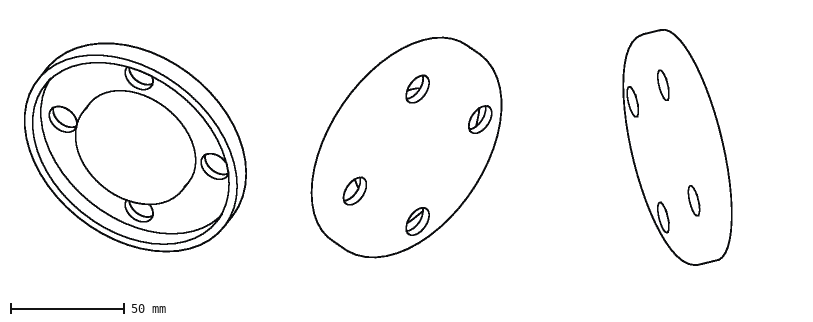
import cadquery as cq
import math

outer_diameter = 105.0
overall_depth = 14.0
rim_height = 12.2
wall = 4.0
edge_radius = 4.0
boss_diameter = 56.0
hole_diameter = 13.6
hole_circle_radius = 37.5
hole_count = 4
sphere_radius = 30.0
lip_radius = 4.0
opening_radius = 18.3

floor_level = wall


def disc(diameter, height, base=0.0):
    """Cylinder along the part axis, growing from the back toward the front."""
    plane = cq.Workplane("XZ").workplane(offset=base)
    return plane.circle(diameter / 2).extrude(height)


def flange():
    body = disc(outer_diameter, rim_height).faces(">Y").edges().fillet(edge_radius)
    recess = disc(outer_diameter - 2 * wall, rim_height - floor_level, floor_level)
    return body.cut(recess)


def boss():
    body = disc(boss_diameter, overall_depth - floor_level, floor_level)
    return body.faces("<Y").edges().fillet(edge_radius)


def dish_cutter():
    """Spherical hollow that runs tangentially through a convex lip into the boss face."""
    edge_angle = math.asin(opening_radius / (sphere_radius + lip_radius))
    lip_center_y = lip_radius - overall_depth
    sphere_center_y = lip_center_y - (sphere_radius + lip_radius) * math.cos(edge_angle)

    def sphere_point(angle):
        return (sphere_radius * math.sin(angle), sphere_center_y + sphere_radius * math.cos(angle))

    def lip_point(angle):
        return (opening_radius - lip_radius * math.sin(angle), lip_center_y - lip_radius * math.cos(angle))

    return (
        cq.Workplane("XY")
        .moveTo(*sphere_point(0))
        .threePointArc(sphere_point(edge_angle / 2), sphere_point(edge_angle))
        .threePointArc(lip_point(edge_angle / 2), lip_point(0))
        .lineTo(0, -overall_depth)
        .close()
        .revolve(360, (0, 0, 0), (0, 1, 0))
    )


def bolt_holes():
    return (
        cq.Workplane("XZ")
        .polarArray(hole_circle_radius, 0, 360, hole_count)
        .circle(hole_diameter / 2)
        .extrude(floor_level)
    )


result = flange().union(boss()).cut(dish_cutter()).cut(bolt_holes())